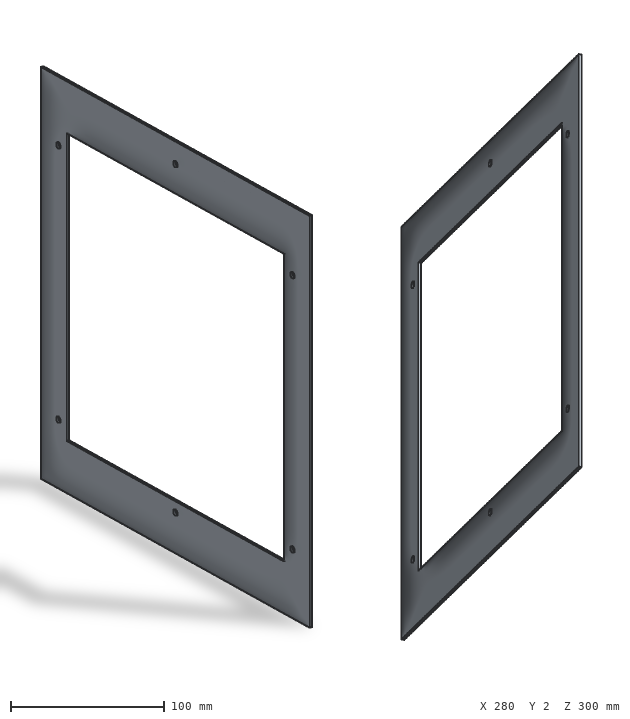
import cadquery as cq

frame_width = 280.0
frame_height = 300.0
thickness = 2.0

opening_width = 226.0
opening_height = 224.0

hole_diameter = 4.5
side_hole_x = 121.8
side_hole_z = 100.0
top_hole_z = 133.5
bottom_hole_z = -120.3

hole_centers = [(0, top_hole_z), (0, bottom_hole_z)]
for x in (-side_hole_x, side_hole_x):
    for z in (-side_hole_z, side_hole_z):
        hole_centers.append((x, z))

frame = (
    cq.Workplane("XZ")
    .rect(frame_width, frame_height)
    .rect(opening_width, opening_height)
    .extrude(thickness / 2, both=True)
)

holes = (
    cq.Workplane("XZ")
    .pushPoints(hole_centers)
    .circle(hole_diameter / 2)
    .extrude(thickness, both=True)
)

result = frame.cut(holes)